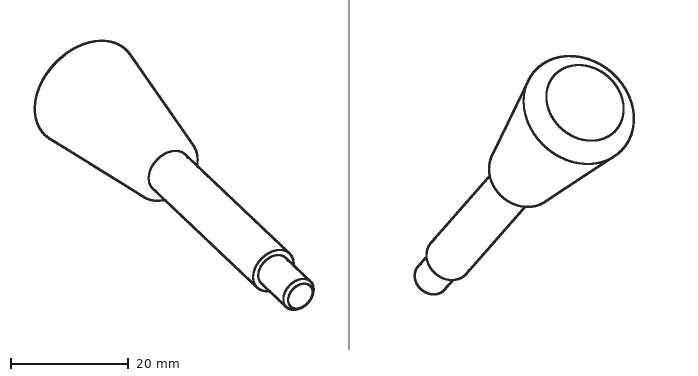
import cadquery as cq

total_length = 75.0
grip_length = 31.0
pin_length = 9.0

grip_large_diameter = 20.0
grip_small_diameter = 12.0
grip_bevel = 3.0
grip_end_radius = 1.2

rod_diameter = 8.0
pin_diameter = 6.0
pin_chamfer = 0.6

rod_length = total_length - grip_length - pin_length


def make_grip():
    """Tapered grip, revolved about the X axis."""
    large_radius = grip_large_diameter / 2
    small_radius = grip_small_diameter / 2
    body = (
        cq.Workplane("XY")
        .moveTo(0, 0)
        .lineTo(0, large_radius - grip_bevel)
        .lineTo(grip_bevel, large_radius)
        .lineTo(grip_length, small_radius)
        .lineTo(grip_length, 0)
        .close()
        .revolve(360, (0, 0, 0), (1, 0, 0))
    )
    return body.faces(">X").edges().fillet(grip_end_radius)


def make_cylinder(start, length, diameter):
    """Cylinder on the X axis, extending in +X from the given start."""
    return cq.Workplane("YZ", origin=(start, 0, 0)).circle(diameter / 2).extrude(length)


grip = make_grip()
rod = make_cylinder(grip_length, rod_length, rod_diameter)
pin = make_cylinder(grip_length + rod_length, pin_length, pin_diameter)
pin = pin.faces(">X").edges().chamfer(pin_chamfer)

result = grip.union(rod).union(pin)